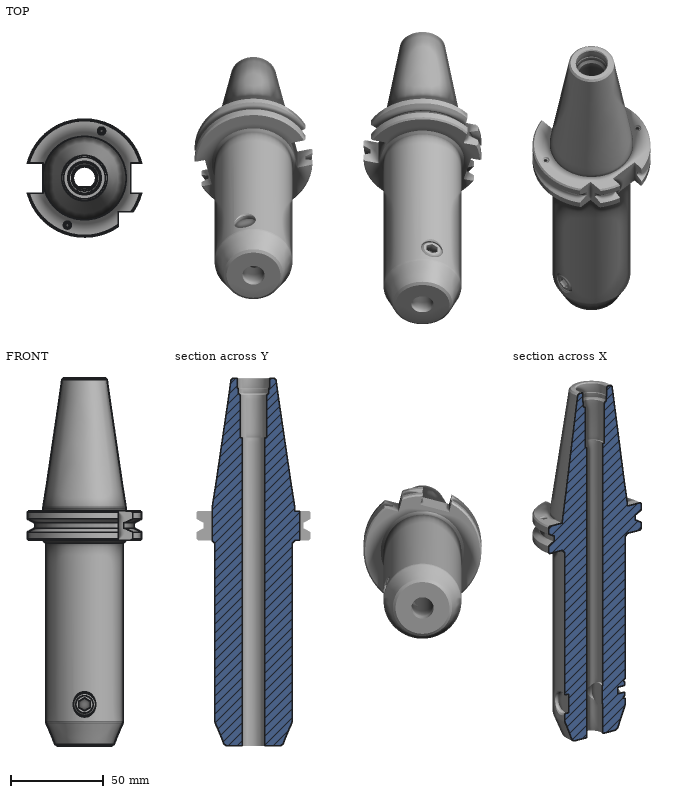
import cadquery as cq
import math

taper_length = 68.4
nose_length = 130.0
nose_z = -nose_length
cut_margin = 1.0
edge_tolerance = 0.05

gauge_diameter = 44.45
taper_rate = 7 / 24
gauge_radius = gauge_diameter / 2
taper_end_radius = gauge_radius - taper_rate * taper_length / 2
taper_end_chamfer = 1.0

taper_base_z = -1.0
collar_z = -1.8
collar_step = 0.1

flange_diameter = 63.55
flange_radius = flange_diameter / 2
flange_top_z = -3.2
flange_thickness = 15.9
flange_bottom_z = flange_top_z - flange_thickness
flange_chamfer = 0.8
groove_center_z = -11.1
groove_radius = 56.0 / 2
groove_root_half_width = 1.6
groove_apex_radius = 25.675
groove_half_angle = math.radians(30)

drive_slot_width = 16.1
left_slot_floor = 22.4
right_slot_floor = 25.0
notch_x = 18.2
notch_y = 18.2

coolant_hole_radius = 27.0
coolant_hole_angles = (70, 250)
coolant_seat_diameter = 4.2
coolant_screw_diameter = 3.2
coolant_hex_width = 2.0
coolant_hex_depth = 2.0

body_radius = 42.0 / 2
body_root_chamfer = 1.5
nose_radius = 32.0 / 2
nose_cone_length = 13.0
nose_fillet = 2.6
nose_chamfer = 1.0
nose_face_radius = 29.0 / 2

bore_radius = 12.0 / 2
pilot_radius = 17.0 / 2
pilot_depth = 5.5
pilot_mouth_chamfer = 0.5
relief_radius = 16.4 / 2
relief_length = 2.6
thread_radius = 14.0 / 2
thread_depth = 32.0

screw_z = nose_z + 22.5
screw_radius = 12.0 / 2
screw_hole_chamfer = 0.8
screw_recess = 0.4
screw_end_chamfer = 1.35
screw_tip_offset = 4.8
screw_hex_width = 6.0
screw_hex_depth = 5.0

balance_hole_depth = 3.0


def revolve_profile(profile):
    """Turn an (r, z) outline about Z, with the seam on the -Y side."""
    turned = cq.Workplane("XZ").polyline(profile).close().revolve(360, (0, 0), (0, 1))
    return turned.rotate((0, 0, 0), (0, 0, 1), -90)


def make_holder():
    """Revolve the outside of taper, flange and body."""
    rim = (flange_radius - groove_apex_radius) * math.tan(groove_half_angle)
    root = groove_root_half_width
    flank_radius = groove_apex_radius + root / math.tan(groove_half_angle)
    taper_base_radius = gauge_radius + taper_rate * -taper_base_z / 2
    profile = [
        (0, taper_length),
        (taper_end_radius - taper_end_chamfer, taper_length),
        (taper_end_radius, taper_length - taper_end_chamfer),
        (taper_base_radius, taper_base_z),
        (taper_base_radius + collar_step, collar_z),
        (taper_base_radius + collar_step, flange_top_z),
        (flange_radius - flange_chamfer, flange_top_z),
        (flange_radius, flange_top_z - flange_chamfer),
        (flange_radius, groove_center_z + rim),
        (flank_radius, groove_center_z + root),
        (groove_radius, groove_center_z + root),
        (groove_radius, groove_center_z - root),
        (flank_radius, groove_center_z - root),
        (flange_radius, groove_center_z - rim),
        (flange_radius, flange_bottom_z + flange_chamfer),
        (flange_radius - flange_chamfer, flange_bottom_z),
        (body_radius + body_root_chamfer, flange_bottom_z),
        (body_radius, flange_bottom_z - body_root_chamfer),
        (body_radius, nose_z + nose_cone_length),
        (nose_radius, nose_z + nose_chamfer),
        (nose_face_radius, nose_z),
        (0, nose_z),
    ]
    holder = revolve_profile(profile)
    ring_z = nose_z + nose_cone_length
    reach = body_radius + cut_margin
    ring = cq.selectors.BoxSelector(
        (-reach, -reach, ring_z - edge_tolerance), (reach, reach, ring_z + edge_tolerance), boundingbox=True
    )
    return holder.edges(ring).fillet(nose_fillet)


def make_bore():
    """Through bore, opening into thread core, relief and pilot at the taper end."""
    thread_end_z = taper_length - thread_depth
    pilot_end_z = taper_length - pilot_depth
    relief_end_z = pilot_end_z - relief_length
    profile = [
        (0, nose_z - cut_margin),
        (bore_radius, nose_z - cut_margin),
        (bore_radius, thread_end_z),
        (thread_radius, thread_end_z),
        (thread_radius, relief_end_z - (relief_radius - thread_radius)),
        (relief_radius, relief_end_z),
        (relief_radius, pilot_end_z - (pilot_radius - relief_radius)),
        (pilot_radius, pilot_end_z),
        (pilot_radius, taper_length - pilot_mouth_chamfer),
        (pilot_radius + pilot_mouth_chamfer, taper_length),
        (0, taper_length),
    ]
    return revolve_profile(profile)


def flange_block(x_start, x_end, y_start, y_end):
    """Box through the full flange thickness."""
    block = cq.Workplane("XY").box(x_end - x_start, y_end - y_start, flange_thickness, centered=False)
    return block.translate((x_start, y_start, flange_bottom_z))


def hexagon_prism(plane, width, depth):
    """Hexagonal prism with the given width across flats."""
    corner_diameter = width / math.cos(math.pi / 6)
    return cq.Workplane(plane).polygon(6, corner_diameter).extrude(depth)


def cut_flange(part):
    """Two drive slots of different depth and a corner notch."""
    half_slot = drive_slot_width / 2
    edge = flange_radius + cut_margin
    part = part.cut(flange_block(-edge, -left_slot_floor, -half_slot, half_slot))
    part = part.cut(flange_block(right_slot_floor, edge, -half_slot, half_slot))
    return part.cut(flange_block(notch_x, edge, -edge, -notch_y))


def cut_coolant_screws(part):
    """Two sunk screws, each a conical seat with a hexagon socket."""
    seat_depth = (coolant_seat_diameter - coolant_screw_diameter) / 2
    for angle in coolant_hole_angles:
        x = coolant_hole_radius * math.cos(math.radians(angle))
        y = coolant_hole_radius * math.sin(math.radians(angle))
        top = cq.Plane((x, y, flange_top_z), normal=(0, 0, -1))
        seat = cq.Solid.makeCone(
            coolant_seat_diameter / 2, coolant_screw_diameter / 2, seat_depth, top.origin, top.zDir
        )
        socket = hexagon_prism(top, coolant_hex_width, seat_depth + coolant_hex_depth)
        part = part.cut(seat).cut(socket)
    return part


def cut_cross_hole(part, plane, depth):
    """Radial hole with a chamfered mouth, sunk into the body from the given plane."""
    mouth = cq.Solid.makeCone(
        screw_radius + screw_hole_chamfer, screw_radius, screw_hole_chamfer, plane.origin, plane.zDir
    )
    return part.cut(cq.Workplane(plane).circle(screw_radius).extrude(depth)).cut(mouth)


def add_clamping_screw(part):
    """Chamfered screw with a hexagon socket, reaching into the bore from the -Y side."""
    outside = cq.Plane((0, -body_radius, screw_z), xDir=(0, 0, 1), normal=(0, 1, 0))
    screw_face = cq.Plane((0, screw_recess - body_radius, screw_z), xDir=(0, 0, 1), normal=(0, 1, 0))
    screw_length = body_radius - screw_recess - screw_tip_offset
    screw = cq.Workplane(screw_face).circle(screw_radius).extrude(screw_length)
    screw = screw.faces("<Y").chamfer(screw_end_chamfer)
    socket = hexagon_prism(screw_face, screw_hex_width, screw_hex_depth)
    part = cut_cross_hole(part, outside, body_radius)
    return part.union(screw.cut(socket))


def cut_balance_hole(part):
    """Blind hole opposite the clamping screw."""
    outside = cq.Plane((0, body_radius, screw_z), xDir=(0, 0, 1), normal=(0, -1, 0))
    return cut_cross_hole(part, outside, balance_hole_depth)


result = make_holder().cut(make_bore())
result = cut_flange(result)
result = cut_coolant_screws(result)
result = add_clamping_screw(result)
result = cut_balance_hole(result)